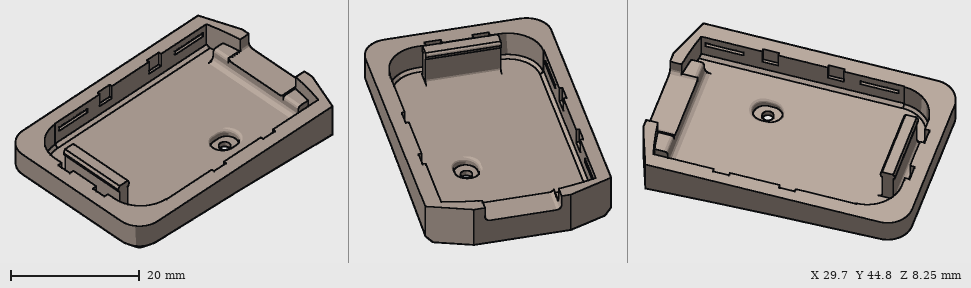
import cadquery as cq


body_width = 29.73
body_length = 44.76
body_height = 7.0
half_width = body_width / 2
front_corner_radius = 4.0
back_flat_half_width = 7.75
back_corner_y = 42.15
front_bevel = 2.85
mid_bevel = 2.15
back_bevel = 1.1

cavity_x = -0.15
floor_z = 2.3
cavity_front_y = 2.95
cavity_half_width = 12.24
cavity_corner_radius = 5.65
side_relief = 0.12
side_wall_half_width = cavity_half_width + side_relief
back_wall_end_y = 41.65
back_wall_middle_y = 43.25
floor_bevel = 0.5

notch_length = 2.6
notch_depth = 0.5
front_notch_depth = 0.77
notch_bottom_z = 4.5
side_notch_ys = (19.75, 30.45)
front_notch_offset = 3.83
slit_length = 6.2
slit_radius = 0.35
slit_z = 5.25
slit_ys = (12.65, 37.9)

block_half_width = 9.4
block_front_y = 40.2
block_top_z = 4.52
block_edge_radius = 0.62
block_foot_radius = 1.0
slot_half_width = 6.13
slot_floor_z = 4.4
slot_bridge_half_width = 6.03
slot_fillet_radius = 0.84
lip_stock_top_z = slot_floor_z + slot_fillet_radius

hook_half_length = 6.03
hook_y = 5.48
hook_top_z = 8.25
hook_head_height = 1.3
hook_head_bulge = 0.3
hook_head_shoulder = 0.2
hook_stem_half = 0.89
hook_foot_radius = 0.66

screw_x = 4.87
screw_y = 28.48
recess_radius = 1.9
recess_straight = 0.92
recess_edge_radius = 0.58
recess_floor_z = 1.0
screw_hole_diameter = 1.85


def box(x_min, x_max, y_min, y_max, z_min, z_max):
    size = (x_max - x_min, y_max - y_min, z_max - z_min)
    return cq.Workplane("XY").box(*size, centered=False).translate((x_min, y_min, z_min))


def cavity_box(half_x, y_min, y_max, z_min, z_max):
    return box(cavity_x - half_x, cavity_x + half_x, y_min, y_max, z_min, z_max)


def bevelled_section(bevel):
    """Body cross-section with both lower corners cut at 45 degrees."""
    return [
        (-half_width, body_height),
        (-half_width, bevel),
        (-half_width + bevel, 0),
        (half_width - bevel, 0),
        (half_width, bevel),
        (half_width, body_height),
    ]


def make_front_end():
    """Rounded front end, bevelled underneath, up to where its corners become straight."""
    end = box(-half_width, half_width, 0, body_length, 0, body_height)
    end = end.edges("|Z and <Y").fillet(front_corner_radius)
    end = end.faces("<Z").edges("not >Y").chamfer(front_bevel)
    return end.intersect(box(-half_width, half_width, 0, front_corner_radius, 0, body_height))


def make_body():
    """Outer shell: bevelled front end, sides with a shrinking bevel, angled back corners."""
    stations = (
        (front_corner_radius, front_bevel),
        ((front_corner_radius + back_corner_y) / 2, mid_bevel),
        (back_corner_y, back_bevel),
    )
    wires = []
    for y, bevel in stations:
        section = cq.Workplane("XZ", origin=(0, y, 0)).polyline(bevelled_section(bevel)).close()
        wires.append(section.val())
    middle = cq.Workplane(obj=cq.Solid.makeLoft(wires))
    back = (
        cq.Workplane("XZ", origin=(0, back_corner_y, 0))
        .polyline(bevelled_section(back_bevel))
        .close()
        .extrude(back_corner_y - body_length)
    )
    outline = (
        cq.Workplane("XY")
        .moveTo(-half_width, 0)
        .lineTo(half_width, 0)
        .lineTo(half_width, back_corner_y)
        .lineTo(back_flat_half_width, body_length)
        .lineTo(-back_flat_half_width, body_length)
        .lineTo(-half_width, back_corner_y)
        .close()
        .extrude(body_height)
    )
    return make_front_end().union(middle).union(back).intersect(outline)


def cavity_limits(half_x, z_min):
    """Plan of the cavity from the cavity front to the bowed back wall."""
    return (
        cq.Workplane("XY", origin=(cavity_x, 0, z_min))
        .moveTo(-half_x, cavity_front_y)
        .lineTo(half_x, cavity_front_y)
        .lineTo(half_x, back_wall_end_y)
        .threePointArc((0, back_wall_middle_y), (-half_x, back_wall_end_y))
        .close()
        .extrude(body_height - z_min)
    )


def make_cavity():
    """Cutter for the tray interior, bevelled where its walls meet the floor."""
    main = cavity_box(cavity_half_width, cavity_front_y, body_length, floor_z, body_height)
    main = main.edges("|Z and <Y").fillet(cavity_corner_radius)
    main = main.faces("<Z").edges("not >Y").chamfer(floor_bevel)
    relief = cavity_box(
        side_wall_half_width,
        cavity_front_y + cavity_corner_radius,
        body_length,
        floor_z,
        body_height,
    )
    relief = relief.edges("|Y and <Z").chamfer(floor_bevel, floor_bevel + side_relief)
    return main.union(relief).intersect(cavity_limits(side_wall_half_width, floor_z))


def cut_wall_pockets(tray):
    """Open notches at the rim and closed slits in the side walls, mirrored left and right."""
    half_notch = notch_length / 2
    for side in (-1, 1):
        wall_x = cavity_x + side * side_wall_half_width
        for y in side_notch_ys:
            notch_height = body_height - notch_bottom_z
            notch = cq.Workplane("XY").box(2 * notch_depth, notch_length, notch_height)
            tray = tray.cut(notch.translate((wall_x, y, notch_bottom_z + notch_height / 2)))
        for y in slit_ys:
            slit = cq.Workplane("XZ").circle(slit_radius).extrude(slit_length / 2, both=True)
            tray = tray.cut(slit.translate((wall_x, y, slit_z)))
        notch_x = cavity_x + side * front_notch_offset
        tray = tray.cut(
            box(
                notch_x - half_notch,
                notch_x + half_notch,
                cavity_front_y - front_notch_depth,
                cavity_front_y,
                notch_bottom_z,
                body_height,
            )
        )
    return tray


def make_back_block():
    """Step against the back wall: rounded top edge and a hollow fillet at its foot."""
    return (
        cq.Workplane("YZ", origin=(cavity_x - block_half_width, 0, 0))
        .moveTo(block_front_y - block_foot_radius, floor_z)
        .radiusArc((block_front_y, floor_z + block_foot_radius), -block_foot_radius)
        .lineTo(block_front_y, block_top_z - block_edge_radius)
        .radiusArc((block_front_y + block_edge_radius, block_top_z), block_edge_radius)
        .lineTo(back_wall_middle_y, block_top_z)
        .lineTo(back_wall_middle_y, floor_z)
        .close()
        .extrude(2 * block_half_width)
    )


def make_slot_bridge():
    """Middle of the step; the slot leaves its sides as low curved lips above the step."""
    return cavity_box(slot_bridge_half_width, block_front_y, back_wall_middle_y, floor_z, lip_stock_top_z)


def make_slot():
    """Cutter for the slot through the back wall, with rounded lower corners."""
    slot = cavity_box(slot_half_width, block_front_y, body_length, slot_floor_z, body_height)
    return slot.edges("|Y and <Z").fillet(slot_fillet_radius)


def make_hook():
    """Rib with a faceted bead along its top and filleted feet."""
    foot_half = hook_stem_half + hook_foot_radius
    foot_top_z = floor_z + hook_foot_radius
    overhangs = (0, hook_head_shoulder, hook_head_bulge, hook_head_shoulder, 0)
    facet_height = hook_head_height / (len(overhangs) - 1)
    neck_z = hook_top_z - hook_head_height
    back_side = [(hook_stem_half + out, neck_z + i * facet_height) for i, out in enumerate(overhangs)]
    front_side = [(-y, z) for y, z in reversed(back_side)]
    return (
        cq.Workplane("YZ", origin=(cavity_x - hook_half_length, hook_y, 0))
        .moveTo(foot_half, floor_z)
        .radiusArc((hook_stem_half, foot_top_z), hook_foot_radius)
        .polyline(back_side + front_side, includeCurrent=True)
        .lineTo(-hook_stem_half, foot_top_z)
        .radiusArc((-foot_half, floor_z), hook_foot_radius)
        .close()
        .extrude(2 * hook_half_length)
    )


def cut_screw_recess(tray):
    """Oblong recess with a rounded rim and a screw hole through its floor."""
    recess_length = 2 * recess_radius + recess_straight
    recess = (
        cq.Workplane("XY", origin=(screw_x, screw_y, recess_floor_z))
        .slot2D(recess_length, 2 * recess_radius, 90)
        .extrude(floor_z - recess_floor_z)
    )
    hole = (
        cq.Workplane("XY", origin=(screw_x, screw_y, 0))
        .circle(screw_hole_diameter / 2)
        .extrude(floor_z)
    )
    tray = tray.cut(recess)
    rim = cq.selectors.BoxSelector(
        (screw_x - recess_length, screw_y - recess_length, floor_z - recess_edge_radius / 2),
        (screw_x + recess_length, screw_y + recess_length, floor_z + recess_edge_radius / 2),
    )
    return tray.edges(rim).fillet(recess_edge_radius).cut(hole)


tray = make_body().cut(make_cavity())
tray = cut_screw_recess(tray)
tray = cut_wall_pockets(tray)
tray = tray.union(make_back_block().intersect(cavity_limits(side_wall_half_width, 0)))
tray = tray.union(make_slot_bridge()).cut(make_slot())
result = tray.union(make_hook())